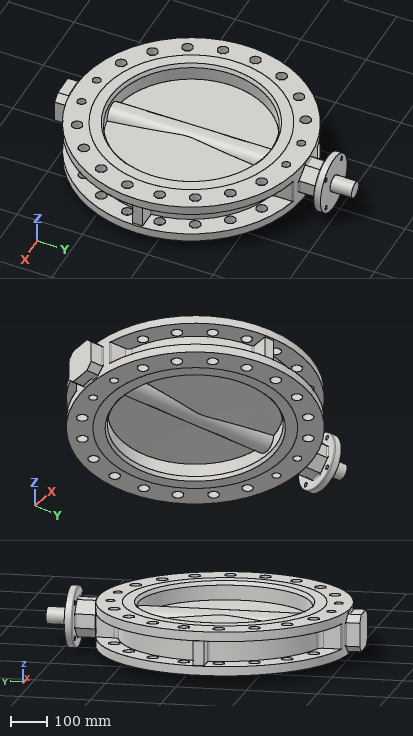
import cadquery as cq
import math


flange_diameter = 715.0
flange_radius = flange_diameter / 2
housing_height = 125.0
flange_thickness = 27.0
pocket_height = housing_height - 2 * flange_thickness
core_radius = 296.0

stem_block_width = 162.0
stem_block_fillet = 16.0
stem_block_edge_fillet = 4.0
rib_thickness = 30.0
rib_reach = 351.0
rib_fillet = 4.0

bolt_circle_radius = 317.0
bolt_hole_count = 20
bolt_hole_diameter = 31.0
stem_bolt_hole_diameter = 24.0
bolt_pitch = 360 / bolt_hole_count

cut_margin = 9.0

boss_width = 106.5
boss_root_fillet = 4.0
boss_faces = ((1, 0), (-1, 0), (0, 1), (0, -1))
neck_corner = 33.0
foot_corner = 20.0
foot_end = -394.0

plate_radius = 88.0
plate_bottom = 413.5
plate_top = 436.0
plate_edge_fillet = 3.0
plate_bolt_circle_radius = 72.0
plate_hole_diameter = 12.5
plate_hole_count = 4
plate_first_hole_angle = 45

stem_diameter = 49.0
stem_top = 501.0
stem_bottom = -376.0

liner_radius = 284.0
bore_radius = 243.0
mouth_radius = 250.0
mouth_depth = 12.0

hub_radius = 39.0
disc_centre_half_thickness = 33.0
disc_rim_half_thickness = 9.0


def cylinder_along_y(radius, start, end):
    """Cylinder on the Y axis from y = start to y = end."""
    base = cq.Workplane("XZ", origin=(0, start, 0))
    return base.circle(radius).extrude(start - end)


def octagon_boss(corner, start, end):
    """Square bar on the Y axis with its four long edges cut off."""
    bar = cq.Workplane("XZ", origin=(0, start, 0)).rect(boss_width, boss_width).extrude(start - end)
    return bar.edges("|Y").chamfer(corner)


def side_pocket(x_side, y_side):
    """Space between the flanges in one quarter, bounded by the core, a rib and a stem block."""
    outer = flange_radius + cut_margin
    quarter = (
        cq.Workplane("XY")
        .box(outer - stem_block_width / 2, outer - rib_thickness / 2, pocket_height, centered=(False, False, True))
        .translate((stem_block_width / 2, rib_thickness / 2, 0))
        .cut(cq.Workplane("XY").circle(core_radius).extrude(housing_height, both=True))
    )
    block_corner_y = math.sqrt(core_radius**2 - (stem_block_width / 2) ** 2)
    rib_corner_x = math.sqrt(core_radius**2 - (rib_thickness / 2) ** 2)
    near_block = cq.selectors.NearestToPointSelector((stem_block_width / 2, block_corner_y, 0))
    near_rib = cq.selectors.NearestToPointSelector((rib_corner_x, rib_thickness / 2, 0))
    quarter = quarter.edges("|Z").edges(near_block).fillet(stem_block_fillet)
    quarter = quarter.edges("|Z").edges(near_rib).fillet(rib_fillet)
    if x_side < 0:
        quarter = quarter.mirror("YZ")
    if y_side < 0:
        quarter = quarter.mirror("XZ")
    return quarter


def rib_end_relief(x_side):
    """Cut that sets the flat end of a rib back from the flange rims."""
    depth = flange_radius - rib_reach + cut_margin
    relief = cq.Workplane("XY").box(depth, rib_thickness, pocket_height, centered=(False, True, True))
    relief = relief.translate((rib_reach, 0, 0))
    return relief if x_side > 0 else relief.mirror("YZ")


def bolt_holes():
    """Through holes of both flanges; the two either side of each boss are smaller."""
    holes = cq.Workplane("XY")
    for index in range(bolt_hole_count):
        angle = (index + 0.5) * bolt_pitch
        beside_stem = abs(math.cos(math.radians(angle))) < math.sin(math.radians(bolt_pitch))
        diameter = stem_bolt_hole_diameter if beside_stem else bolt_hole_diameter
        hole = (
            cq.Workplane("XY")
            .polarArray(bolt_circle_radius, angle, 360, 1)
            .circle(diameter / 2)
            .extrude(housing_height, both=True)
        )
        holes = holes.add(hole)
    return holes.combine()


def mounting_plate():
    """Round plate at the neck end, rounded on the neck side, with bolt holes on the diagonals."""
    plate = cylinder_along_y(plate_radius, plate_bottom, plate_top)
    plate = plate.edges("<Y").fillet(plate_edge_fillet)
    holes = (
        cq.Workplane("XZ", origin=(0, plate_bottom, 0))
        .polarArray(plate_bolt_circle_radius, plate_first_hole_angle, 360, plate_hole_count)
        .circle(plate_hole_diameter / 2)
        .extrude(plate_bottom - plate_top)
    )
    return plate.cut(holes)


def make_housing():
    """Flanged ring cast in one piece with its bosses and mounting plate."""
    body = cq.Workplane("XY").circle(flange_radius).extrude(housing_height / 2, both=True)
    for x_side in (-1, 1):
        body = body.cut(rib_end_relief(x_side))
        for y_side in (-1, 1):
            body = body.cut(side_pocket(x_side, y_side))

    block_edge_y = math.sqrt(flange_radius**2 - (stem_block_width / 2) ** 2)
    for x_side in (-1, 1):
        for y_side in (-1, 1):
            corner = (x_side * stem_block_width / 2, y_side * block_edge_y, 0)
            edge = body.edges("|Z").edges(cq.selectors.NearestToPointSelector(corner))
            body = edge.fillet(stem_block_edge_fillet)

    body = body.union(octagon_boss(neck_corner, core_radius, plate_bottom))
    body = body.union(octagon_boss(foot_corner, -core_radius, foot_end))

    for y_side in (-1, 1):
        for x, z in boss_faces:
            height = math.sqrt(flange_radius**2 - (x * boss_width / 2) ** 2)
            root = (x * boss_width / 2, y_side * height, z * boss_width / 2)
            body = body.edges(cq.selectors.NearestToPointSelector(root)).fillet(boss_root_fillet)

    body = body.union(mounting_plate())
    for x, z in boss_faces:
        root = (x * boss_width / 2, plate_bottom, z * boss_width / 2)
        body = body.edges(cq.selectors.NearestToPointSelector(root)).fillet(boss_root_fillet)

    body = body.cut(bolt_holes())
    body = body.cut(cq.Workplane("XY").circle(liner_radius).extrude(housing_height, both=True))
    return body.cut(make_stem())


def make_stem():
    """Round stem through the neck and disc, ending blind in the foot boss."""
    return cylinder_along_y(stem_diameter / 2, stem_bottom, stem_top)


def make_liner():
    """Ring with a conical mouth at each end of its bore."""
    half_height = housing_height / 2
    ring = (
        cq.Workplane("XZ")
        .moveTo(mouth_radius, -half_height)
        .lineTo(liner_radius, -half_height)
        .lineTo(liner_radius, half_height)
        .lineTo(mouth_radius, half_height)
        .lineTo(bore_radius, half_height - mouth_depth)
        .lineTo(bore_radius, mouth_depth - half_height)
        .close()
        .revolve(360, (0, 0, 0), (0, 1, 0))
    )
    return ring.cut(make_stem())


def make_disc():
    """Double cone with a cylindrical hub across it, trimmed round to the liner bore."""
    cones = (
        cq.Workplane("XZ")
        .moveTo(0, -disc_centre_half_thickness)
        .lineTo(bore_radius, -disc_rim_half_thickness)
        .lineTo(bore_radius, disc_rim_half_thickness)
        .lineTo(0, disc_centre_half_thickness)
        .close()
        .revolve(360, (0, 0, 0), (0, 1, 0))
    )
    hub = cylinder_along_y(hub_radius, -bore_radius, bore_radius)
    hub = hub.intersect(cq.Workplane("XY").circle(bore_radius).extrude(housing_height, both=True))
    return cones.union(hub).cut(make_stem())


housing = make_housing()
liner = make_liner()
disc = make_disc()
stem = make_stem()

bodies = [body.solids().val() for body in (housing, liner, disc, stem)]
result = cq.Compound.makeCompound(bodies)